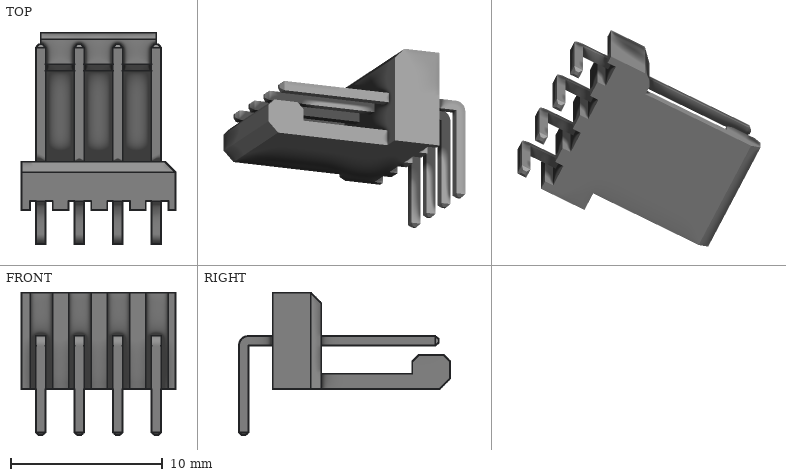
import cadquery as cq
import math


pin_count = 4
pitch = 2.54
row_span = (pin_count - 1) * pitch
pin_size = 0.64
bend_radius = pin_size
tip_inset = 0.2
contact_tip_length = 0.25
tail_tip_length = 0.2
contact_end_y = 13.17
tail_length_below_housing = 3.04

housing_width = pin_count * pitch
housing_depth = 3.2
housing_height = 6.35
housing_back_y = 2.23
housing_front_y = housing_back_y + housing_depth
housing_chamfer = 0.7
pin_axis_z = housing_height / 2

groove_width = 1.48
groove_depth = 0.6
groove_offset = 0.05

tongue_width = row_span
tongue_thickness = 1.02
tongue_chamfer = 0.7
tongue_end_y = 13.92
lip_length = 2.5
lip_top_z = 2.24
lip_chamfer = 0.42


def pin_positions():
    return [-row_span / 2 + i * pitch for i in range(pin_count)]


def box_between(x_range, y_range, z_range):
    """Axis-aligned box spanning the given (low, high) ranges."""
    return cq.Workplane("XY").box(
        x_range[1] - x_range[0],
        y_range[1] - y_range[0],
        z_range[1] - z_range[0],
        centered=False,
    ).translate((x_range[0], y_range[0], z_range[0]))


def make_housing():
    half_width = housing_width / 2
    housing = box_between(
        (-half_width, half_width), (housing_back_y, housing_front_y), (0, housing_height)
    )
    housing = housing.edges(">Y and >Z").chamfer(housing_chamfer)
    corner_cut = (
        cq.Workplane("XY")
        .moveTo(half_width, housing_front_y)
        .lineTo(half_width - housing_chamfer, housing_front_y)
        .lineTo(half_width, housing_front_y - housing_chamfer)
        .close()
        .extrude(housing_height)
    )
    housing = housing.cut(corner_cut)
    for x in pin_positions():
        left = x + groove_offset - groove_width / 2
        groove = box_between(
            (left, left + groove_width),
            (housing_back_y, housing_back_y + groove_depth),
            (0, housing_height),
        )
        housing = housing.cut(groove)
    return housing


def make_tongue():
    half_width = tongue_width / 2
    tongue = box_between(
        (-half_width, half_width), (housing_front_y, tongue_end_y), (0, tongue_thickness)
    )
    tongue = tongue.edges(">Y and <Z").chamfer(tongue_chamfer)
    lip = box_between(
        (-half_width, half_width),
        (tongue_end_y - lip_length, tongue_end_y),
        (tongue_thickness, lip_top_z),
    )
    lip = lip.faces(">Z").edges("|X").chamfer(lip_chamfer)
    return tongue.union(lip)


def add_tip(bar, end_face, tip_length):
    """Extend the chosen end face of a square bar with a flat-nosed pyramid."""
    taper_angle = math.degrees(math.atan2(tip_inset, tip_length))
    return (
        bar.faces(end_face)
        .workplane(centerOption="CenterOfMass")
        .rect(pin_size, pin_size)
        .extrude(tip_length, taper=taper_angle)
    )


def make_pin(x):
    """Square pin: contact along +Y, tail down, round outside and sharp inside the bend."""
    left = x - pin_size / 2
    right = x + pin_size / 2
    bottom_z = pin_axis_z - pin_size / 2
    top_z = pin_axis_z + pin_size / 2
    contact = box_between((left, right), (0, contact_end_y - contact_tip_length), (bottom_z, top_z))
    tail_bottom_z = tail_tip_length - tail_length_below_housing
    tail = box_between((left, right), (0, pin_size), (tail_bottom_z, top_z))
    pin = add_tip(contact, ">Y", contact_tip_length).union(add_tip(tail, "<Z", tail_tip_length))
    return pin.edges("|X and <Y and >Z").fillet(bend_radius)


result = make_housing().union(make_tongue())
for pin_x in pin_positions():
    result = result.union(make_pin(pin_x))